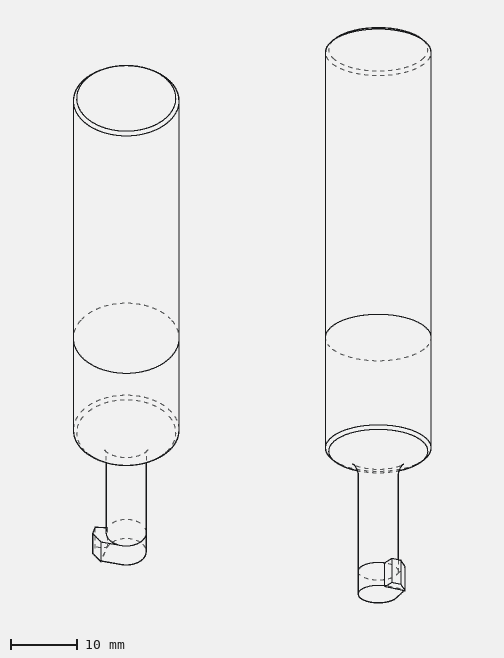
import cadquery as cq
import math

total_length = 91
joint_height = 42.95
fillet_end_height = 19.8
cutter_height = 4.0

shank_radius = 15.8 / 2
neck_radius = 6.0 / 2
neck_fillet = 4.2
rim_chamfer = 0.5

tip_reach = 4.8
land_width = 1.5
side_length = 3.1
rake_end_y = 0.4
end_step = 0.2

shoulder_height = fillet_end_height + neck_fillet


def make_shank():
    """Plain cylinder with a chamfered upper rim."""
    shank = cq.Workplane("XY").workplane(offset=joint_height).circle(shank_radius)
    shank = shank.extrude(total_length - joint_height)
    return shank.faces(">Z").edges().chamfer(rim_chamfer)


def make_neck_holder():
    """Revolved holder that narrows through a concave fillet to a thin neck."""
    fillet_center_x = neck_radius + neck_fillet
    fillet_mid = (
        fillet_center_x - neck_fillet * math.cos(math.pi / 4),
        fillet_end_height + neck_fillet * math.sin(math.pi / 4),
    )
    return (
        cq.Workplane("XZ")
        .moveTo(0, cutter_height)
        .lineTo(neck_radius, cutter_height)
        .lineTo(neck_radius, fillet_end_height)
        .threePointArc(fillet_mid, (fillet_center_x, shoulder_height))
        .lineTo(shank_radius - rim_chamfer, shoulder_height)
        .lineTo(shank_radius, shoulder_height + rim_chamfer)
        .lineTo(shank_radius, joint_height)
        .lineTo(0, joint_height)
        .close()
        .revolve(360, (0, 0, 0), (0, 1, 0))
    )


def make_cutter():
    """Round cutting end with one side tooth that stands slightly proud of the end face."""
    rake_end_x = -math.sqrt(neck_radius**2 - rake_end_y**2)
    blank = (
        cq.Workplane("XY")
        .moveTo(0, -neck_radius)
        .lineTo(-side_length, -neck_radius)
        .lineTo(-tip_reach, -land_width)
        .lineTo(-tip_reach, 0)
        .lineTo(rake_end_x, rake_end_y)
        .threePointArc((neck_radius, 0), (0, -neck_radius))
        .close()
        .extrude(cutter_height)
    )
    round_relief = cq.Workplane("XY").box(
        side_length + neck_radius, 2 * shank_radius, end_step, centered=(False, True, False)
    )
    return blank.cut(round_relief.translate((-side_length, 0, 0)))


shank = make_shank()
neck_holder = make_neck_holder()
cutter = make_cutter()

result = cq.Compound.makeCompound([shank.val(), neck_holder.val(), cutter.val()])